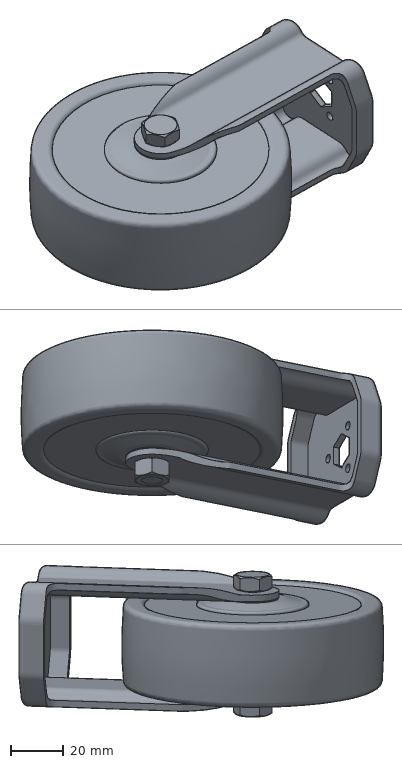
import cadquery as cq
import math


overall_length = 136.0

tread_diameter = 99.9
tread_width = 32.0
tread_edge_diameter = 98.5
tread_inner_diameter = 82.1
tread_edge_radius = 2.0

web_width = 29.9
hub_rim_diameter = 43.0
hub_rim_edge_radius = 1.0
hub_cone_base_diameter = 37.5
hub_cone_top_diameter = 25.1
hub_cone_top_width = 35.0
hub_boss_diameter = 19.5
core_bore_diameter = 8.2

sheet_thickness = 2.6
bracket_width = 56.0
bracket_height = 48.0
plate_offset = overall_length - tread_diameter / 2
flange_depth = 10.0
back_edge_radius = 2.7
arm_width = 35.9
arm_end_radius = 10.0
arm_taper_start = 24.0
arm_root_radius = 4.0
arm_taper_blend_radius = 3.0
arm_hole_diameter = 8.5
arm_outer_height = 20.5
crest_radius = 6.5
valley_radius = 3.0
flank_angle = 62.5
flank_corner_height = 11.0
flank_corner_radius = 6.8

hex_turn = 30

hex_opening_across_flats = 12.0
small_hole_diameter = 3.3
small_hole_circle_diameter = 20.0
small_hole_angles = (60, 180, 300)

shank_diameter = 8.0
hex_across_flats = 13.0
hex_face_diameter = 12.5
hex_chamfer_angle = 30
head_gap = 0.5
head_height = 5.7
nut_height = 7.0

arm_inner_height = arm_outer_height - sheet_thickness
half_bracket_width = bracket_width / 2
half_bracket_height = bracket_height / 2
half_arm_width = arm_width / 2
nut_bottom = -arm_outer_height - nut_height


def cylinder(diameter, bottom, top):
    """Cylinder about the wheel axis."""
    return cq.Workplane("XY").workplane(offset=bottom).circle(diameter / 2).extrude(top - bottom)


def make_tread():
    inner_radius = tread_inner_diameter / 2
    edge_radius = tread_edge_diameter / 2
    half_width = tread_width / 2
    return (
        cq.Workplane("XZ")
        .moveTo(inner_radius, -half_width)
        .lineTo(edge_radius, -half_width)
        .threePointArc((tread_diameter / 2, 0), (edge_radius, half_width))
        .lineTo(inner_radius, half_width)
        .close()
        .revolve(360, (0, 0, 0), (0, 1, 0))
        .faces("<Z or >Z")
        .edges()
        .fillet(tread_edge_radius)
    )


def make_hub_cone():
    """Revolved hub with a shallow cone toward each arm."""
    base = (hub_cone_base_diameter / 2, tread_width / 2)
    top = (hub_cone_top_diameter / 2, hub_cone_top_width / 2)
    return (
        cq.Workplane("XZ")
        .polyline([
            (0, -top[1]),
            (top[0], -top[1]),
            (base[0], -base[1]),
            base,
            top,
            (0, top[1]),
        ])
        .close()
        .revolve(360, (0, 0, 0), (0, 1, 0))
    )


def make_core(tread):
    web_diameter = tread_inner_diameter + 2 * tread_edge_radius
    web = cylinder(web_diameter, -web_width / 2, web_width / 2).cut(tread)
    hub_rim = (
        cylinder(hub_rim_diameter, -tread_width / 2, tread_width / 2)
        .faces("<Z or >Z")
        .edges()
        .fillet(hub_rim_edge_radius)
    )
    boss = cylinder(hub_boss_diameter, -arm_inner_height, arm_inner_height)
    bore = cylinder(core_bore_diameter, -arm_inner_height, arm_inner_height)
    return web.union(hub_rim).union(make_hub_cone()).union(boss).cut(bore)


def polar_point(center, radius, degrees):
    angle = math.radians(degrees)
    return (center[0] + radius * math.cos(angle), center[1] + radius * math.sin(angle))


def bracket_prism(inset, front, back):
    """Block between two Y positions, with the bracket section inset from its outer surface."""
    valley = (arm_end_radius, arm_outer_height + valley_radius)
    crest_height = half_bracket_height - crest_radius
    center_drop = valley[1] - crest_height
    turn_angle = math.degrees(math.asin(center_drop / (crest_radius + valley_radius)))
    crest = (valley[0] + center_drop / math.tan(math.radians(turn_angle)), crest_height)

    flank_normal = 90 - flank_angle
    corner_setback = flank_corner_radius * math.tan(math.radians(flank_normal / 2))
    corner = (half_bracket_width - flank_corner_radius, flank_corner_height - corner_setback)

    valley_arc = valley_radius + inset
    crest_arc = crest_radius - inset
    corner_arc = flank_corner_radius - inset
    quarter = (
        cq.Workplane("XZ", origin=(0, back, 0))
        .moveTo(0, 0)
        .lineTo(0, arm_outer_height - inset)
        .lineTo(valley[0], arm_outer_height - inset)
        .threePointArc(
            polar_point(valley, valley_arc, -(90 + turn_angle) / 2),
            polar_point(valley, valley_arc, -turn_angle),
        )
        .threePointArc(
            polar_point(crest, crest_arc, 90),
            polar_point(crest, crest_arc, flank_normal),
        )
        .lineTo(*polar_point(corner, corner_arc, flank_normal))
        .threePointArc(
            polar_point(corner, corner_arc, flank_normal / 2),
            polar_point(corner, corner_arc, 0),
        )
        .lineTo(half_bracket_width - inset, 0)
        .close()
        .extrude(back - front)
    )
    upper_half = quarter.union(quarter.mirror("YZ"))
    return upper_half.union(upper_half.mirror("XY"))


def bracket_plan():
    """Upright block with the bracket's XY outline: wide flange, straight arms, tapered round ends."""
    flange_front = plate_offset - flange_depth
    shoulder_distance = math.hypot(half_arm_width, arm_taper_start)
    shoulder_angle = math.degrees(math.atan2(arm_taper_start, half_arm_width))
    tangent_angle = shoulder_angle - math.degrees(math.acos(arm_end_radius / shoulder_distance))
    tangent_x, tangent_y = polar_point((0, 0), arm_end_radius, tangent_angle)
    plan = (
        cq.Workplane("XY", origin=(0, 0, -half_bracket_height))
        .moveTo(half_bracket_width, plate_offset)
        .lineTo(half_bracket_width, flange_front)
        .lineTo(half_arm_width, flange_front)
        .lineTo(half_arm_width, arm_taper_start)
        .lineTo(tangent_x, tangent_y)
        .threePointArc((0, -arm_end_radius), (-tangent_x, tangent_y))
        .lineTo(-half_arm_width, arm_taper_start)
        .lineTo(-half_arm_width, flange_front)
        .lineTo(-half_bracket_width, flange_front)
        .lineTo(-half_bracket_width, plate_offset)
        .close()
        .extrude(bracket_height)
    )
    corner_margin = 1.4
    for corner_y, radius in ((flange_front, arm_root_radius), (arm_taper_start, arm_taper_blend_radius)):
        at_arm_side = cq.selectors.BoxSelector(
            (-half_arm_width - corner_margin, corner_y - corner_margin, -bracket_height),
            (half_arm_width + corner_margin, corner_y + corner_margin, bracket_height),
        )
        plan = plan.edges("|Z").edges(at_arm_side).fillet(radius)
    return plan


def plate_openings():
    """Hexagonal opening and the ring of small holes through the mounting plate."""
    plane = cq.Workplane("XZ", origin=(0, plate_offset, 0))
    hexagon = (
        plane.transformed(rotate=(0, 0, hex_turn))
        .polygon(6, hex_opening_across_flats / math.cos(math.pi / 6))
        .extrude(flange_depth)
    )
    small_holes = (
        plane.pushPoints([
            polar_point((0, 0), small_hole_circle_diameter / 2, angle) for angle in small_hole_angles
        ])
        .circle(small_hole_diameter / 2)
        .extrude(flange_depth)
    )
    return hexagon.union(small_holes)


def make_bracket():
    body = (
        bracket_prism(0, -arm_end_radius, plate_offset)
        .faces(">Y")
        .edges()
        .fillet(back_edge_radius)
    )
    cavity = bracket_prism(sheet_thickness, -arm_end_radius, plate_offset - sheet_thickness)
    arm_holes = cylinder(arm_hole_diameter, -half_bracket_height, half_bracket_height)
    return body.cut(cavity).intersect(bracket_plan()).cut(arm_holes).cut(plate_openings())


def chamfered_hexagon(bottom, top):
    """Hexagon prism about the wheel axis, with both faces turned down to a circle."""
    corner_radius = hex_across_flats / math.sqrt(3)
    face_radius = hex_face_diameter / 2
    chamfer_drop = (corner_radius - face_radius) * math.tan(math.radians(hex_chamfer_angle))
    turned = (
        cq.Workplane("XZ")
        .polyline([
            (0, bottom),
            (face_radius, bottom),
            (corner_radius, bottom + chamfer_drop),
            (corner_radius, top - chamfer_drop),
            (face_radius, top),
            (0, top),
        ])
        .close()
        .revolve(360, (0, 0, 0), (0, 1, 0))
    )
    prism = (
        cq.Workplane("XY", origin=(0, 0, bottom))
        .transformed(rotate=(0, 0, hex_turn))
        .polygon(6, 2 * corner_radius)
        .extrude(top - bottom)
    )
    return prism.intersect(turned)


def make_bolt():
    head_bottom = arm_outer_height + head_gap
    shank = cylinder(shank_diameter, nut_bottom, head_bottom)
    return shank.union(chamfered_hexagon(head_bottom, head_bottom + head_height))


def make_nut():
    nut_top = -arm_outer_height
    return chamfered_hexagon(nut_bottom, nut_top).cut(cylinder(shank_diameter, nut_bottom, nut_top))


tread = make_tread()
core = make_core(tread)
bracket = make_bracket()
bolt = make_bolt()
nut = make_nut()

result = cq.Compound.makeCompound([
    tread.val(),
    core.val(),
    bracket.val(),
    bolt.val(),
    nut.val(),
])